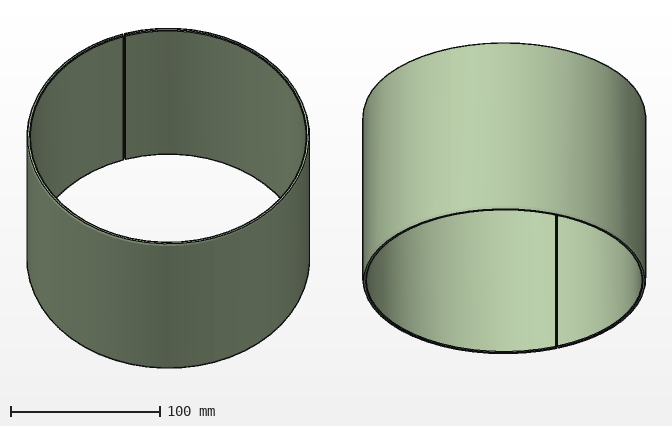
import cadquery as cq

outer_diameter = 190.0
height = 130.0
wall = 2.5
bevel_height = 1.9
bevel_depth = 0.5
inner_chamfer = 0.5
slit_width = 1.5

outer_radius = outer_diameter / 2
inner_radius = outer_radius - wall
half_height = height / 2
bevel_start = half_height - bevel_height
chamfer_start = half_height - inner_chamfer


def sleeve():
    """Thin tube whose rims taper on both the outside and the inside."""
    wall_profile = [
        (inner_radius, -chamfer_start),
        (inner_radius + inner_chamfer, -half_height),
        (outer_radius - bevel_depth, -half_height),
        (outer_radius, -bevel_start),
        (outer_radius, bevel_start),
        (outer_radius - bevel_depth, half_height),
        (inner_radius + inner_chamfer, half_height),
        (inner_radius, chamfer_start),
    ]
    return cq.Workplane("XZ").polyline(wall_profile).close().revolve(360, (0, 0), (0, 1))


def slit():
    """Full-height cut through the -X wall, with one face on the XZ plane."""
    cut_length = 4 * wall
    return cq.Workplane("XY").box(
        cut_length, slit_width, height, centered=(True, False, True)
    ).translate((-outer_radius, 0, 0))


result = sleeve().cut(slit())